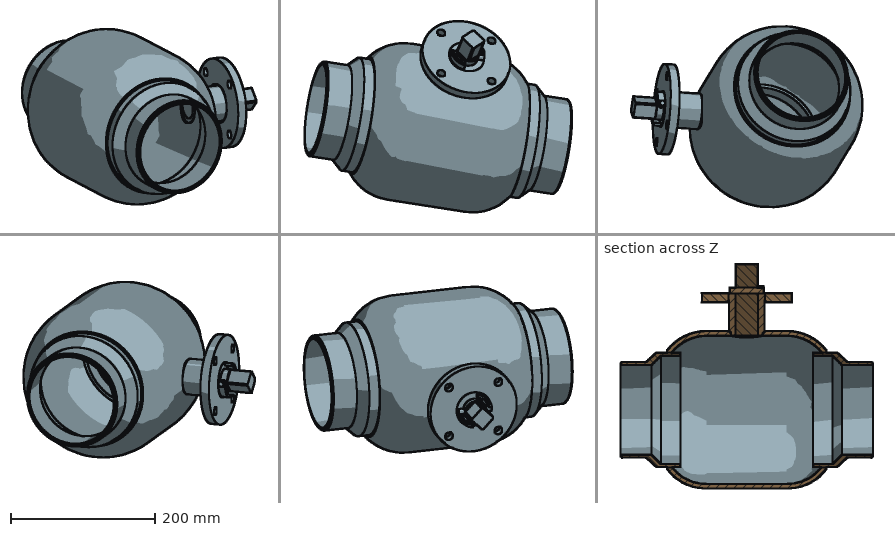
import cadquery as cq
import math


HOUSING_RADIUS = 109.5
HOUSING_HALF_LENGTH = 110.5
BARREL_HALF_LENGTH = 55.3
HOUSING_END_RADIUS = 82.2
HOUSING_WALL = 7.0

HALF_LENGTH = 175.0
PIPE_RADIUS = 66.5
PIPE_BORE_RADIUS = 62.0
MOUTH_CHAMFER = 2.0
FLARE_START = 139.3
FLARE_END = 125.3
BORE_FLARE_START = 132.0
BORE_FLARE_END = 119.0
PIPE_INNER_END = 92.0
SOCKET_RADIUS = 79.5
SOCKET_BORE_RADIUS = SOCKET_RADIUS - (PIPE_RADIUS - PIPE_BORE_RADIUS)

FLANGE_BOTTOM = 149.0
FLANGE_THICKNESS = 12.5
FLANGE_TOP = FLANGE_BOTTOM + FLANGE_THICKNESS
FLANGE_RADIUS = 62.5
FLANGE_BORE_CHAMFER = 2.5
BOLT_CIRCLE_RADIUS = 50.8
BOLT_HOLE_RADIUS = 5.5
BOLT_COUNT = 4
FIRST_BOLT_ANGLE = 45.0

PIN_RADIUS = 4.0
PIN_HALF_LENGTH = 23.8
PIN_HEIGHT = FLANGE_TOP + PIN_RADIUS

NECK_RADIUS = 25.0
NECK_FOOT = HOUSING_RADIUS
NECK_TAPER = 3.0
NECK_INNER_END = HOUSING_RADIUS - HOUSING_WALL
COLLAR_RADIUS = 23.8
COLLAR_BORE_RADIUS = 20.0
COLLAR_TOP = 171.5

STEM_RADIUS = 15.5
STEM_TOP = 202.0
SQUARE_WIDTH = 23.5
SQUARE_ANGLE = 45.0


def cylinder_along_y(radius, bottom, top):
    """Cylinder on the stem axis between two heights."""
    return cq.Workplane("XZ", origin=(0, bottom, 0)).circle(radius).extrude(bottom - top)


def dome_profile(radius, dome_radius, half_length, end_radius):
    """Half section of a barrel whose ends curve in tangentially to end_radius."""
    centre_radius = radius - dome_radius
    end_angle = math.asin((end_radius - centre_radius) / dome_radius)
    mid_angle = (end_angle + math.pi / 2) / 2
    mid_x = BARREL_HALF_LENGTH + dome_radius * math.cos(mid_angle)
    mid_radius = centre_radius + dome_radius * math.sin(mid_angle)
    return (
        cq.Workplane("XY")
        .moveTo(-half_length, 0)
        .lineTo(-half_length, end_radius)
        .threePointArc((-mid_x, mid_radius), (-BARREL_HALF_LENGTH, radius))
        .lineTo(BARREL_HALF_LENGTH, radius)
        .threePointArc((mid_x, mid_radius), (half_length, end_radius))
        .lineTo(half_length, 0)
        .close()
    )


def revolve_about_x(profile):
    """Full turn of a profile about the pipe axis."""
    return profile.revolve(360, (0, 0, 0), (1, 0, 0))


def make_housing(neck_body):
    """Hollow barrel of even wall, open at both ends, with a hole for the neck."""
    dome_length = HOUSING_HALF_LENGTH - BARREL_HALF_LENGTH
    dome_drop = HOUSING_RADIUS - HOUSING_END_RADIUS
    dome_radius = (dome_length**2 + dome_drop**2) / (2 * dome_drop)
    inner_dome_radius = dome_radius - HOUSING_WALL
    inner_radius = HOUSING_RADIUS - HOUSING_WALL
    rise = SOCKET_RADIUS - (inner_radius - inner_dome_radius)
    inner_half_length = BARREL_HALF_LENGTH + math.sqrt(inner_dome_radius**2 - rise**2)

    outside = revolve_about_x(
        dome_profile(HOUSING_RADIUS, dome_radius, HOUSING_HALF_LENGTH, HOUSING_END_RADIUS)
    )
    cavity = revolve_about_x(
        dome_profile(inner_radius, inner_dome_radius, inner_half_length, SOCKET_RADIUS)
    )
    socket_hole = (
        cq.Workplane("YZ").circle(SOCKET_RADIUS).extrude(HOUSING_HALF_LENGTH, both=True)
    )
    neck_hole = cylinder_along_y(NECK_RADIUS - NECK_TAPER, 0, HOUSING_RADIUS)
    return outside.cut(cavity).cut(socket_hole).cut(neck_hole).cut(neck_body)


def make_end_pipe(side):
    """Pipe that flares out to a socket in the housing; side is -1 or +1 along X."""
    section = [
        (HALF_LENGTH, PIPE_BORE_RADIUS),
        (HALF_LENGTH, PIPE_RADIUS - MOUTH_CHAMFER),
        (HALF_LENGTH - MOUTH_CHAMFER, PIPE_RADIUS),
        (FLARE_START, PIPE_RADIUS),
        (FLARE_END, SOCKET_RADIUS),
        (PIPE_INNER_END, SOCKET_RADIUS),
        (PIPE_INNER_END, SOCKET_BORE_RADIUS),
        (BORE_FLARE_END, SOCKET_BORE_RADIUS),
        (BORE_FLARE_START, PIPE_BORE_RADIUS),
    ]
    placed = [(side * x, radius) for x, radius in section]
    return revolve_about_x(cq.Workplane("XY").polyline(placed).close())


def make_flange():
    """Bolted disc around the neck, its bore chamfered on the housing side."""
    plate = cylinder_along_y(FLANGE_RADIUS, FLANGE_BOTTOM, FLANGE_TOP)
    bore = cylinder_along_y(NECK_RADIUS, FLANGE_BOTTOM, FLANGE_TOP)
    bolt_holes = (
        cq.Workplane("XZ", origin=(0, FLANGE_BOTTOM, 0))
        .polarArray(BOLT_CIRCLE_RADIUS, FIRST_BOLT_ANGLE, 360, BOLT_COUNT)
        .circle(BOLT_HOLE_RADIUS)
        .extrude(-FLANGE_THICKNESS)
    )
    ring = plate.cut(bore)
    bore_rim = ring.faces("<Y").edges(cq.selectors.RadiusNthSelector(0))
    return bore_rim.chamfer(FLANGE_BORE_CHAMFER).cut(bolt_holes)


def make_neck():
    """Tube through the flange, ending in a collar with two opposite stop quadrants."""
    foot_radius = NECK_RADIUS - NECK_TAPER
    section = [
        (STEM_RADIUS, NECK_INNER_END),
        (foot_radius, NECK_INNER_END),
        (foot_radius, NECK_FOOT - NECK_TAPER),
        (NECK_RADIUS, NECK_FOOT),
        (NECK_RADIUS, FLANGE_TOP),
        (COLLAR_RADIUS, FLANGE_TOP),
        (COLLAR_RADIUS, COLLAR_TOP),
        (COLLAR_BORE_RADIUS, COLLAR_TOP),
        (COLLAR_BORE_RADIUS, FLANGE_TOP),
        (STEM_RADIUS, FLANGE_TOP),
    ]
    neck_body = cq.Workplane("XY").polyline(section).close().revolve(360, (0, 0, 0), (0, 1, 0))

    cut_size = COLLAR_RADIUS + PIN_RADIUS
    cut_middle = cut_size / 2 - PIN_RADIUS
    collar_height = COLLAR_TOP - FLANGE_TOP
    for side in (-1, 1):
        quadrant = cq.Workplane("XY").box(cut_size, collar_height, cut_size).translate(
            (side * cut_middle, FLANGE_TOP + collar_height / 2, side * cut_middle)
        )
        neck_body = neck_body.cut(quadrant)
    return neck_body


def make_pin():
    """Cross pin that sticks out on both sides of the stem."""
    return (
        cq.Workplane("YZ", origin=(0, PIN_HEIGHT, 0))
        .circle(PIN_RADIUS)
        .extrude(PIN_HALF_LENGTH, both=True)
    )


def make_stem(pin_body):
    """Round stem with a square end, cross-drilled for the pin."""
    shaft = cylinder_along_y(STEM_RADIUS, NECK_INNER_END, COLLAR_TOP)
    square = (
        cq.Workplane("XZ", origin=(0, COLLAR_TOP, 0))
        .transformed(rotate=(0, 0, SQUARE_ANGLE))
        .rect(SQUARE_WIDTH, SQUARE_WIDTH)
        .extrude(COLLAR_TOP - STEM_TOP)
    )
    square_end = square.intersect(cylinder_along_y(STEM_RADIUS, COLLAR_TOP, STEM_TOP))
    return shaft.union(square_end).cut(pin_body)


neck = make_neck()
housing = make_housing(neck)
end_pipes = [make_end_pipe(side) for side in (-1, 1)]
flange = make_flange()
pin = make_pin()
stem = make_stem(pin)

result = cq.Compound.makeCompound(
    [housing.val()]
    + [pipe.val() for pipe in end_pipes]
    + [flange.val(), neck.val(), stem.val(), pin.val()]
)